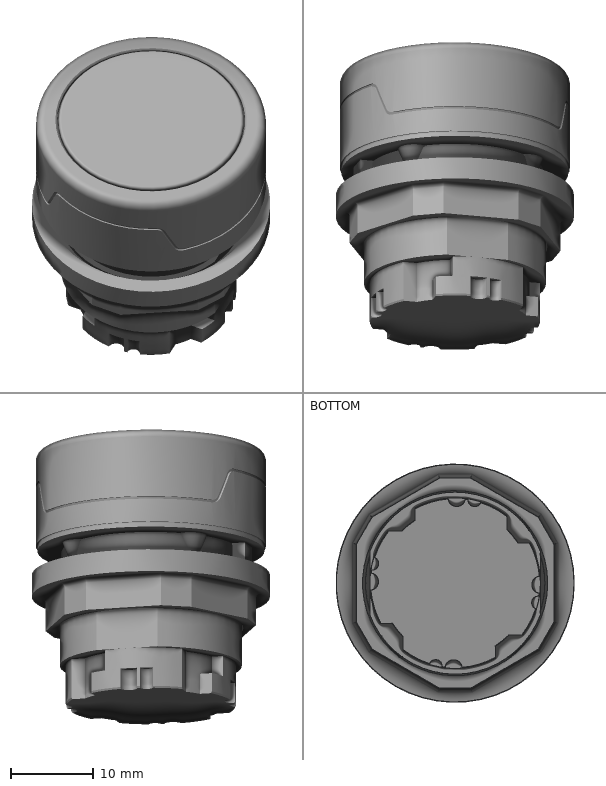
import cadquery as cq

LEDGE_Z = 2.5
FEET_TOP_Z = 5.0
NUT_BOTTOM_Z = 9.72
FLANGE_BOTTOM_Z = 13.6
NUT_FLOOR_Z = 14.3
COLLAR_TOP_Z = 14.45
NECK_BOTTOM_Z = 16.1
FLANGE_TOP_Z = 16.33
NECK_TOP_Z = 19.1
SKIRT_BOTTOM_Z = 19.3
BEZEL_BOTTOM_Z = 19.9
BEZEL_TOP_Z = 31.55
TOTAL_HEIGHT = 31.65

FEET_R = 20.75 / 2
FEET_CHAMFER_WIDTH = 0.1
FEET_CHAMFER_HEIGHT = 0.22
COLLAR_R = 22.15 / 2
NECK_R = 21.85 / 2
NECK_RELIEF_R = NECK_R - 0.1
SKIRT_R = 27.65 / 2
BEZEL_R = 28.0 / 2
BEZEL_FLAT_R = 26.0 / 2
BEZEL_ROUND = BEZEL_R - BEZEL_FLAT_R
BORE_R = 22.9 / 2
BORE_MOUTH_R = 23.3 / 2
BUTTON_R = 22.55 / 2
BUTTON_FLAT_R = 21.85 / 2
BUTTON_ROUND = BUTTON_R - BUTTON_FLAT_R
BUTTON_GAP_DEPTH = 0.63

SIDES = 4
FEET_ROOT_R = 18.17 / 2
FOOT_END = 6.33
FOOT_TOE = 4.9
FOOT_HEEL = 2.95
SCALLOPS = [(0.2, 1.05), (2.37, 0.8)]

BUMP_AXIS_R = 10.03
BUMP_FOOT_R = 0.73
BUMP_TOP_R = 1.95
TAB_WIDTH = 3.15
TAB_REACH = 12.38
TAB_BOTTOM_Z = 16.6

GROOVE_WIDTH = 0.32
GROOVE_HIGH_Z = 27.28
GROOVE_LOW_Z = 22.9
GROOVE_HIGH_HALF = 7.1
GROOVE_LOW_HALF = 8.77
GROOVE_BEND = 0.95

FLANGE_R = 29.0 / 2
RECESS_R = 25.35 / 2
NUT_BORE_R = 22.55 / 2
HEX_SIDES = 6
HEX_FLATS = 24.05
HEX_CORNER_FLATS = 25.57
HEX_FILLET = 0.47
HEX_HALF_STEP = 180 / HEX_SIDES

REACH = 2 * FLANGE_R
SLACK = 0.03


def turned_head():
    """Feet, collar, neck, skirt, bezel and button as one turned shape."""
    arc = 0.5 ** 0.5
    gap_floor_z = BEZEL_TOP_Z - BUTTON_GAP_DEPTH
    mouth_chamfer = BORE_MOUTH_R - BORE_R
    bezel_round_z = BEZEL_TOP_Z - BEZEL_ROUND
    button_round_z = TOTAL_HEIGHT - BUTTON_ROUND
    profile = (
        cq.Workplane("XZ")
        .lineTo(FEET_R - FEET_CHAMFER_WIDTH, 0)
        .lineTo(FEET_R, FEET_CHAMFER_HEIGHT)
        .lineTo(FEET_R, FEET_TOP_Z)
        .lineTo(COLLAR_R, FEET_TOP_Z)
        .lineTo(COLLAR_R, COLLAR_TOP_Z)
        .lineTo(FEET_R, COLLAR_TOP_Z)
        .lineTo(FEET_R, NECK_BOTTOM_Z)
        .lineTo(NECK_R, NECK_BOTTOM_Z)
        .lineTo(NECK_R, NECK_TOP_Z)
        .lineTo(NECK_RELIEF_R, NECK_TOP_Z)
        .lineTo(NECK_RELIEF_R, SKIRT_BOTTOM_Z)
        .lineTo(SKIRT_R, SKIRT_BOTTOM_Z)
        .lineTo(SKIRT_R, BEZEL_BOTTOM_Z)
        .lineTo(BEZEL_R, BEZEL_BOTTOM_Z)
        .lineTo(BEZEL_R, bezel_round_z)
        .threePointArc(
            (BEZEL_FLAT_R + arc * BEZEL_ROUND, bezel_round_z + arc * BEZEL_ROUND),
            (BEZEL_FLAT_R, BEZEL_TOP_Z),
        )
        .lineTo(BORE_MOUTH_R, BEZEL_TOP_Z)
        .lineTo(BORE_R, BEZEL_TOP_Z - mouth_chamfer)
        .lineTo(BORE_R, gap_floor_z)
        .lineTo(BUTTON_R, gap_floor_z)
        .lineTo(BUTTON_R, button_round_z)
        .threePointArc(
            (BUTTON_FLAT_R + arc * BUTTON_ROUND, button_round_z + arc * BUTTON_ROUND),
            (BUTTON_FLAT_R, TOTAL_HEIGHT),
        )
        .lineTo(0, TOTAL_HEIGHT)
        .close()
    )
    return profile.revolve(360, (0, 0), (0, 1))


def collar_flats():
    """Two cuts that make the collar flush with the feet on the -X and +X sides."""
    height = COLLAR_TOP_Z - FEET_TOP_Z
    block = cq.Workplane("XY").workplane(offset=FEET_TOP_Z).rect(REACH, REACH).extrude(height)
    return block.cut(
        cq.Workplane("XY").workplane(offset=FEET_TOP_Z).rect(2 * FEET_R, REACH).extrude(height)
    )


def corner_block(bottom_z, top_z, near_face):
    """Block outside x = FOOT_END and y = -near_face, towards +X and -Y."""
    return (
        cq.Workplane("XY")
        .workplane(offset=bottom_z)
        .moveTo(FOOT_END, -near_face)
        .lineTo(REACH, -near_face)
        .lineTo(REACH, -REACH)
        .lineTo(FOOT_END, -REACH)
        .close()
        .extrude(top_z - bottom_z)
    )


def foot_gap():
    """Gap between two feet: stepped at the toe of the next foot, with a round root."""
    lower = corner_block(0, LEDGE_Z, FOOT_TOE)
    upper = corner_block(LEDGE_Z, FEET_TOP_Z, FOOT_HEEL)
    root = cq.Workplane("XY").circle(FEET_ROOT_R).extrude(FEET_TOP_Z)
    return lower.union(upper).cut(root)


def foot_scallop(sideways, radius):
    """Upright round scallop in the lower half of a foot, centred on its outer surface."""
    setback = (FEET_R ** 2 - sideways ** 2) ** 0.5
    return cq.Workplane("XY").center(sideways, -setback).circle(radius).extrude(LEDGE_Z)


def neck_bump():
    """Upright cone on the -Y side of the neck that widens from the neck's foot to the skirt."""
    height = SKIRT_BOTTOM_Z - NECK_BOTTOM_Z
    foot = cq.Vector(0, -BUMP_AXIS_R, NECK_BOTTOM_Z)
    return cq.Workplane(obj=cq.Solid.makeCone(BUMP_FOOT_R, BUMP_TOP_R, height, pnt=foot))


def locating_tab():
    """Block below the skirt on the +Y side."""
    return (
        cq.Workplane("XY")
        .workplane(offset=TAB_BOTTOM_Z)
        .center(0, TAB_REACH / 2)
        .rect(TAB_WIDTH, TAB_REACH)
        .extrude(SKIRT_BOTTOM_Z - TAB_BOTTOM_Z)
    )


def bezel_panel(margin):
    """Prism along Y with a raised middle; margin moves its upper outline outwards."""
    rise = GROOVE_HIGH_Z - GROOVE_LOW_Z
    run = GROOVE_LOW_HALF - GROOVE_HIGH_HALF
    slant = (rise ** 2 + run ** 2) ** 0.5
    corner_shift = margin * (slant - run) / rise
    high_half = GROOVE_HIGH_HALF + corner_shift
    low_half = GROOVE_LOW_HALF + corner_shift
    high_z = GROOVE_HIGH_Z + margin
    low_z = GROOVE_LOW_Z + margin
    panel = (
        cq.Workplane("XZ")
        .moveTo(-REACH, 0)
        .lineTo(-REACH, low_z)
        .lineTo(-low_half, low_z)
        .lineTo(-high_half, high_z)
        .lineTo(high_half, high_z)
        .lineTo(low_half, low_z)
        .lineTo(REACH, low_z)
        .lineTo(REACH, 0)
        .close()
        .extrude(REACH, both=True)
    )
    inside = cq.selectors.BoxSelector(
        (-BEZEL_R, -REACH, low_z - SLACK), (BEZEL_R, REACH, high_z + SLACK)
    )
    tops = panel.edges("|Y").edges(">Z").fillet(GROOVE_BEND + margin)
    return tops.edges("|Y").edges(inside).edges("<Z").fillet(GROOVE_BEND - margin)


def bezel_groove():
    """Narrow groove that follows the panel outline round the bezel, as deep as the skirt."""
    band = bezel_panel(GROOVE_WIDTH / 2).cut(bezel_panel(-GROOVE_WIDTH / 2))
    return band.cut(cq.Workplane("XY").circle(SKIRT_R).extrude(TOTAL_HEIGHT))


def turned_about_z(shape, angle):
    return shape.rotate((0, 0, 0), (0, 0, 1), angle)


def make_head():
    """Pushbutton head: button, bezel, neck, collar and bayonet feet."""
    head = turned_head().cut(collar_flats())
    step = 360 / SIDES
    for side in range(SIDES):
        turn = side * step
        head = head.cut(turned_about_z(foot_gap(), turn))
        for sideways, radius in SCALLOPS:
            head = head.cut(turned_about_z(foot_scallop(sideways, radius), turn))
        head = head.union(turned_about_z(neck_bump(), turn + step / 2))
    return head.union(locating_tab()).cut(bezel_groove())


def nut_prism(across_flats, height):
    """Six-sided prism at the bottom of the nut with flats facing -X and +X."""
    return (
        cq.Workplane("XY")
        .workplane(offset=NUT_BOTTOM_Z)
        .polygon(HEX_SIDES, across_flats, circumscribed=True)
        .extrude(height)
    )


def make_nut():
    """Round flange with a recessed top, above a hexagon with cut-off corners."""
    flange_height = FLANGE_TOP_Z - FLANGE_BOTTOM_Z
    hex_height = FLANGE_BOTTOM_Z - NUT_BOTTOM_Z
    flange = cq.Workplane("XY").workplane(offset=FLANGE_BOTTOM_Z).circle(FLANGE_R).extrude(flange_height)
    hexagon = nut_prism(HEX_FLATS, hex_height)
    corner_cutter = turned_about_z(nut_prism(HEX_CORNER_FLATS, hex_height), HEX_HALF_STEP)
    inside_rim = FLANGE_R - SLACK
    junction = cq.selectors.BoxSelector(
        (-inside_rim, -inside_rim, FLANGE_BOTTOM_Z - SLACK),
        (inside_rim, inside_rim, FLANGE_BOTTOM_Z + SLACK),
        boundingbox=True,
    )
    body = flange.union(hexagon.intersect(corner_cutter)).edges(junction).fillet(HEX_FILLET)
    bore = cq.Workplane("XY").circle(NUT_BORE_R).extrude(FLANGE_TOP_Z)
    recess = cq.Workplane("XY").workplane(offset=NUT_FLOOR_Z).circle(RECESS_R).extrude(FLANGE_TOP_Z)
    return body.cut(bore).cut(recess)


head = make_head()
nut = make_nut()
result = cq.Compound.makeCompound([head.solids().val(), nut.solids().val()])